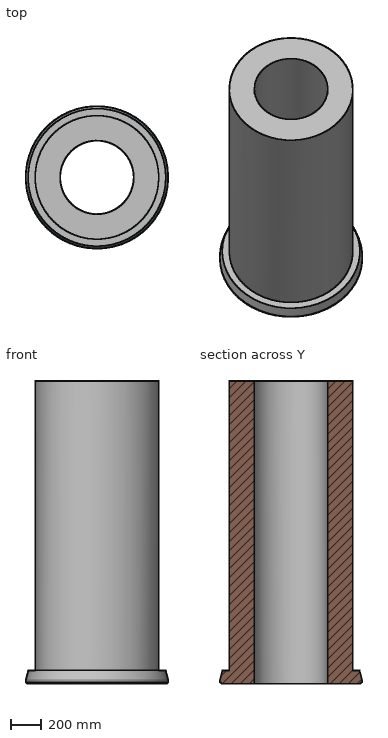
import cadquery as cq

total_height = 1994.0
bore_diameter = 483.0
tube_diameter = 814.0

flange_diameter = 940.0
shoulder_diameter = 905.0
flange_height = 90.0
edge_chamfer = 12.0
rim_height = 14.0

bore_radius = bore_diameter / 2
tube_radius = tube_diameter / 2
flange_radius = flange_diameter / 2
shoulder_radius = shoulder_diameter / 2
rim_top = edge_chamfer + rim_height

half_section = (
    cq.Workplane("XZ")
    .moveTo(bore_radius, 0)
    .lineTo(flange_radius - edge_chamfer, 0)
    .lineTo(flange_radius, edge_chamfer)
    .lineTo(flange_radius, rim_top)
    .lineTo(shoulder_radius, flange_height)
    .lineTo(tube_radius, flange_height)
    .lineTo(tube_radius, total_height)
    .lineTo(bore_radius, total_height)
    .close()
)

result = half_section.revolve(360, (0, 0, 0), (0, 1, 0))